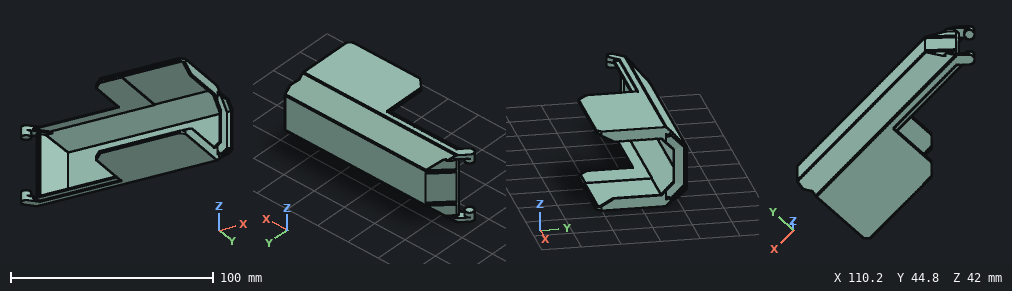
import cadquery as cq
import math

LENGTH = 110.2
DEPTH = 44.8
HALF_HEIGHT = 21.0
BACK_HALF = 11.0
CORNER_FACET = 0.3
BACK_WALL = 1.0
FLANK_WALL = 1.3
FLANGE_WALL = 1.9
MARGIN = 5.5

PLATE_START = 54.9
PLATE_END = 107.0
PLATE_FRONT_CHAMFER = 5.3
PLATE_END_CHAMFER = 2.3
RECESS_START = 71.7
RECESS_DEPTH = 0.17
TIP_THICKNESS = 1.2
TIP_BEVEL_RUN = 8.4

STRIP_OUTER_EDGE = 13.7
STRIP_INNER_EDGE = 16.2
STRIP_STEP = 0.7
STRIP_BREAK = 0.2
STRIP_LAND = 0.5

RIDGE_PLANE = 16.6
END_WALL_PLANE = 17.3
END_WALL_HALF = 17.5
END_WALL_THICKNESS = 1.1
FOOT_THICKNESS = 1.3
END_WALL_LEFT = 6.4
END_WALL_BOTTOM = 12.8
RIDGE_CENTER = 10.0
RIDGE_TOP_WIDTH = 0.9
RIDGE_BASE_WIDTH = 2.1

BARREL_DIAMETER = 5.2
HINGE_BOTTOM = 19.0
BARREL_LENGTH = 5.6
ARM_THICKNESS = 2.6

RIM_START = 106.1
RIM_HEIGHT = 6.0
RIM_FILLET = 1.3
LIP_ROOT = 107.6
LIP_TAPER = 0.2
LIP_BEVEL_START = 109.8
LIP_BEVEL = 0.3
LIP_END_DEPTH = 4.0

SQRT2 = math.sqrt(2)
BARREL_RADIUS = BARREL_DIAMETER / 2
BARREL_DEPTH = HINGE_BOTTOM - BARREL_RADIUS
LIP_LIMIT = HALF_HEIGHT - BACK_HALF
ARM_PLANE = BARREL_RADIUS + BARREL_DEPTH - BARREL_RADIUS * SQRT2
ARM_INNER_PLANE = ARM_PLANE + 2 * BARREL_RADIUS * SQRT2
CAVITY_WALLS = (BACK_WALL, FLANK_WALL, FLANGE_WALL)
RIM_WALLS = (RIM_HEIGHT, RIM_HEIGHT, RIM_HEIGHT)
CAVITY_PLANE = END_WALL_PLANE + END_WALL_THICKNESS * SQRT2


def box(x0, x1, y0, y1, z0, z1):
    return cq.Workplane("XY").box(x1 - x0, y1 - y0, z1 - z0, centered=False).translate((x0, y0, z0))


def plan_prism(points, z0, z1):
    return cq.Workplane("XY").workplane(offset=z0).polyline(points).close().extrude(z1 - z0)


def both_sides(solid):
    return solid.union(solid.mirror("XY"))


def section_points(back, flank, flange):
    """Channel section in (Y, Z): each face moved inward by its own wall, open end past the tip."""
    back_half = BACK_HALF + back - flank * SQRT2
    flange_half = HALF_HEIGHT - flange
    corner = -(flange_half - BACK_HALF + flank * SQRT2)
    open_end = -(DEPTH + MARGIN)
    return [
        (open_end, -flange_half), (corner, -flange_half), (-back, -back_half),
        (-back, back_half), (corner, flange_half), (open_end, flange_half),
    ]


def section_prism(walls, x0, x1):
    plane = cq.Workplane("YZ").workplane(offset=x0)
    return plane.polyline(section_points(*walls)).close().extrude(x1 - x0)


def section_loft(x0, walls0, x1, walls1):
    plane = cq.Workplane("YZ").workplane(offset=x0).polyline(section_points(*walls0)).close()
    plane = plane.workplane(offset=x1 - x0).polyline(section_points(*walls1)).close()
    return plane.loft(ruled=True, combine=True)


def half_space_behind(plane_x, half):
    """Prism on the +X side of the 45 degree plane X = plane_x + Y."""
    far = LENGTH + MARGIN
    low = -(DEPTH + MARGIN)
    points = [(plane_x + MARGIN, MARGIN), (far, MARGIN), (far, low), (plane_x + low, low)]
    return plan_prism(points, -half, half)


def envelope():
    prism = section_prism((0, 0, 0), 0, LENGTH)
    low = (-MARGIN, -DEPTH + MARGIN, -DEPTH)
    high = (LENGTH + MARGIN, MARGIN, DEPTH)
    corners = cq.selectors.BoxSelector(low, high, boundingbox=True)
    return prism.edges("|X").edges(corners).chamfer(CORNER_FACET)


def plan_outline():
    points = [
        (RIDGE_PLANE, 0), (LENGTH, 0), (LENGTH, -LIP_LIMIT), (PLATE_END, -LIP_LIMIT),
        (PLATE_END, -DEPTH + PLATE_END_CHAMFER), (PLATE_END - PLATE_END_CHAMFER, -DEPTH),
        (PLATE_START + PLATE_FRONT_CHAMFER, -DEPTH), (PLATE_START, -DEPTH + PLATE_FRONT_CHAMFER),
        (PLATE_START, -STRIP_INNER_EDGE), (END_WALL_LEFT, -STRIP_INNER_EDGE),
        (END_WALL_LEFT, END_WALL_LEFT - ARM_PLANE), (ARM_PLANE, 0),
    ]
    return plan_prism(points, -HALF_HEIGHT, HALF_HEIGHT)


def cavity():
    inner = HALF_HEIGHT - FLANGE_WALL
    foot = END_WALL_LEFT + FOOT_THICKNESS
    main = section_prism(CAVITY_WALLS, foot, RIM_START)
    main = main.intersect(half_space_behind(CAVITY_PLANE, HALF_HEIGHT))
    opening = box(-MARGIN, RIM_START, -DEPTH - MARGIN, -END_WALL_BOTTOM, -inner, inner)
    recess_walls = (BACK_WALL, FLANK_WALL, FLANGE_WALL - RECESS_DEPTH)
    recess = section_prism(recess_walls, RECESS_START, RIM_START)
    return main.union(opening).union(recess)


def rim_opening():
    prism = section_prism(RIM_WALLS, RIM_START, PLATE_END)
    return prism.edges("|X and (not <Y)").fillet(RIM_FILLET)


def lip_relief():
    """Hollow of the lip: a slope off the rim, a slight taper and an end bevel."""
    tapered = [wall - LIP_TAPER for wall in CAVITY_WALLS]
    bevelled = [wall - LIP_BEVEL for wall in tapered]
    root = section_loft(PLATE_END, RIM_WALLS, LIP_ROOT, CAVITY_WALLS)
    taper = section_loft(LIP_ROOT, CAVITY_WALLS, LIP_BEVEL_START, tapered)
    bevel = section_loft(LIP_BEVEL_START, tapered, LENGTH, bevelled)
    return root.union(taper).union(bevel)


def lip_side_cuts():
    """Cuts square to each flank that slant the two sides of the lip."""
    flank = cq.Plane(origin=(0, 0, BACK_HALF), xDir=(1, 0, 0), normal=(0, 1, 1))
    low = -DEPTH
    points = [
        (PLATE_END, -SQRT2 * (LIP_END_DEPTH + LENGTH - PLATE_END)), (LENGTH, -SQRT2 * LIP_END_DEPTH),
        (LENGTH + MARGIN, -SQRT2 * LIP_END_DEPTH), (LENGTH + MARGIN, low), (PLATE_END, low),
    ]
    return both_sides(cq.Workplane(flank).polyline(points).close().extrude(2 * FLANK_WALL, both=True))


def tip_bevel():
    """Wedge sloping the rim down to the flange tip."""
    inner = HALF_HEIGHT - RIM_HEIGHT
    points = [
        (-DEPTH + TIP_BEVEL_RUN, inner), (-DEPTH, HALF_HEIGHT - TIP_THICKNESS),
        (-DEPTH - MARGIN, HALF_HEIGHT - TIP_THICKNESS), (-DEPTH - MARGIN, inner),
    ]
    return both_sides(cq.Workplane("YZ").polyline(points).close().extrude(LENGTH))


def strip_edge_cut():
    """Material removed outside the stepped, sloping edge of the narrow strip."""
    inner = HALF_HEIGHT - FLANGE_WALL
    points = [
        (-STRIP_OUTER_EDGE, HALF_HEIGHT + MARGIN), (-STRIP_OUTER_EDGE, HALF_HEIGHT - STRIP_STEP),
        (-STRIP_INNER_EDGE + STRIP_BREAK, inner + STRIP_LAND), (-STRIP_INNER_EDGE, inner),
        (-STRIP_INNER_EDGE - MARGIN, inner), (-STRIP_INNER_EDGE - MARGIN, HALF_HEIGHT + MARGIN),
    ]
    return both_sides(cq.Workplane("YZ").polyline(points).close().extrude(PLATE_START))


def end_wall_sink():
    """Pocket that sinks the end wall between the arms, leaving two raised ridges."""
    low = -STRIP_INNER_EDGE
    points = [
        (ARM_PLANE - MARGIN, 0), (END_WALL_PLANE, 0),
        (END_WALL_PLANE + low, low), (ARM_PLANE - MARGIN + low, low),
    ]
    pocket = plan_prism(points, -END_WALL_HALF, END_WALL_HALF)
    for center in (-RIDGE_CENTER, RIDGE_CENTER):
        pocket = pocket.cut(ridge(center))
    return pocket


def ridge(center):
    """Trapezoid ridge running down the end wall at 45 degrees."""
    height = (END_WALL_PLANE - RIDGE_PLANE) / SQRT2
    along = cq.Plane(origin=(END_WALL_PLANE, 0, center), xDir=(-1, 1, 0), normal=(-1, -1, 0))
    points = [
        (0, -RIDGE_BASE_WIDTH / 2), (height, -RIDGE_TOP_WIDTH / 2),
        (height, RIDGE_TOP_WIDTH / 2), (0, RIDGE_BASE_WIDTH / 2),
    ]
    return cq.Workplane(along).polyline(points).close().extrude(2 * END_WALL_BOTTOM, both=True)


def hinge_arms(shell):
    """45 degree arms ending in round barrels, trimmed to the outer shape."""
    half_width = BARREL_RADIUS / SQRT2
    axis = (BARREL_RADIUS, -BARREL_DEPTH)
    arm_base = HALF_HEIGHT - ARM_THICKNESS
    reach = BARREL_DEPTH
    arm = plan_prism([
        (axis[0] - half_width, axis[1] + half_width),
        (axis[0] - half_width + reach, axis[1] + half_width + reach),
        (ARM_INNER_PLANE - STRIP_OUTER_EDGE + reach, -STRIP_OUTER_EDGE + reach),
        (axis[0] + half_width, axis[1] - half_width),
    ], arm_base, HALF_HEIGHT)
    arm = arm.intersect(shell)
    barrel = cq.Workplane("XY").workplane(offset=HALF_HEIGHT - BARREL_LENGTH)
    barrel = barrel.center(*axis).circle(BARREL_RADIUS).extrude(BARREL_LENGTH)
    return both_sides(arm.union(barrel))


outer = envelope()
result = outer.intersect(plan_outline())
result = result.cut(cavity()).cut(rim_opening()).cut(lip_relief()).cut(lip_side_cuts())
result = result.cut(tip_bevel()).cut(strip_edge_cut()).cut(end_wall_sink())
result = result.union(hinge_arms(outer))